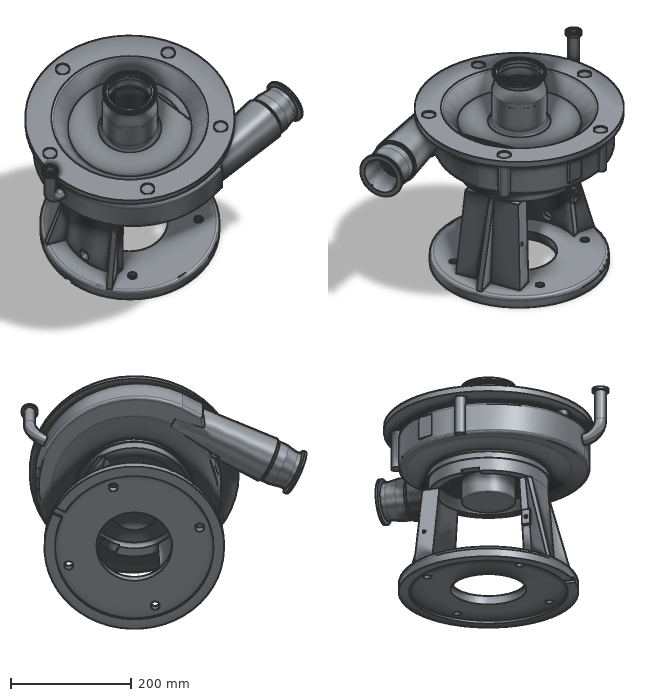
import cadquery as cq
import math


base_radius = 150.0
base_height = 20.3
base_edge_round = 6.5
base_bore_radius = 63.0
base_bolt_radius = 7.5
base_bolt_circle = 114.5
foot_recess_radius = 132.0
foot_recess_depth = 5.0
drain_notch_width = 12.0

leg_foot_sink = 5.5
leg_outer_radius_bottom = 113.3
leg_outer_radius_top = 100.0
leg_inner_radius_bottom = 102.2
leg_inner_radius_top = 86.0
leg_half_width_bottom = 60.5
leg_half_width_top = 50.0
rib_thickness = 9.3
rib_root_inset = 4.5
corner_rib_bottom_tip = (72.3, 129.0)
corner_rib_top_tip = (50.2, 87.5)
corner_rib_bottom_root = (55.5, 98.0)
corner_rib_top_root = (44.0, 81.0)
rear_leg_back_bottom = 113.5
rear_leg_back_top = 99.5
middle_rib_reach_bottom = 146.8
middle_rib_reach_top = 99.5
leg_window_radius = 10.0
leg_window_height = 34.0
leg_screw_radius = 2.5
leg_screw_depth = 9.0
leg_screw_height = 100.0
front_screw_y = -85.5
rear_screw_y = 95.0
screw_pad_width = 14.5
screw_pad_height = 26.0
screw_pad_face_x = -62.5

ring_bottom = 177.5
ring_step = 200.5
ring_top = 212.0
ring_lower_radius = 100.0
ring_upper_radius = 101.5
ring_bore_radius = 85.5
ring_slot_width = 31.0
ring_slot_height = 5.7
boss_radius = 45.0
boss_bottom = 163.0
boss_edge_round = 1.8

casing_bottom = 222.0
casing_top = 278.5
casing_overlap = 4.5
back_cone_bottom = 216.5
back_cone_overlap = 2.0
casing_edge_round = 5.5
tongue_radius = 141.5
tongue_angle = 45
spiral_start_radius = 149.0
spiral_left_radius = 154.5
spiral_front_radius = 167.5
spiral_end_radius = 175.0
spiral_end_x = 173.0
spiral_end_y = 39.5
name_pad_height = 39.2
name_pad_z = 252.0
name_pad_near_corner = (-144.5, 53.0)
name_pad_far_corner = (-135.5, 78.5)
name_pad_thickness = 13.2

plate_radius = 174.5
plate_top = 300.0
plate_thickness = 10.5
cover_radius = 139.5
cover_top = 286.5
cover_neck_radius = 135.7
dish_rim_radius = 131.0
dish_floor_radius = 103.0
dish_floor = 273.5
dish_rim_chamfer = 3.0
dish_rim_chamfer_depth = 1.8
sunk_chord_y = 80.5
sunk_floor_radius = 90.0
sunk_depth = 4.5
stud_count = 5
stud_circle = 152.5
stud_radius = 9.5
stud_bottom = 223.0
stud_recess = 2.0
stud_hole_radius = 11.5
gasket_groove_depth = 1.5

suction_top = 370.5
suction_flange_radius = 45.0
suction_flange_thickness = 4.0
suction_neck_radius = 38.0
suction_neck_top = 363.0
suction_neck_bottom = 355.5
suction_body_radius = 46.3
suction_body_top = 334.5
suction_flare_bulge = 1.5
suction_foot_flare = 6.0
suction_foot_height = 11.0
suction_foot_sink = 4.5
suction_groove_inner = 40.0
suction_groove_outer = 42.7
suction_neck_bore = 36.0
suction_neck_bore_bottom = 340.5
suction_body_bore = 44.0
suction_body_bore_top = 325.2
suction_bore_floor = 229.0

outlet_x = 140.0
outlet_z = 251.5
outlet_end = 231.0
outlet_flange_radius = 39.0
outlet_flange_thickness = 4.0
outlet_neck_radius = 32.5
outlet_neck_end = 224.8
outlet_neck_start = 217.0
outlet_body_radius = 36.0
outlet_body_end = 197.5
outlet_groove_end = 182.0
outlet_groove_start = 177.5
outlet_groove_radius = 35.3
outlet_pipe_radius = 39.0
outlet_pipe_inner_end_radius = 31.0
outlet_bore_radius = 30.5

vent_y = -196.0
vent_radius = 9.5
vent_bore_radius = 7.5
vent_bend_radius = 32.0
vent_axis_z = 254.5
vent_top = 342.0
vent_flange_radius = 13.5
vent_flange_thickness = 4.5
vent_groove_inner = 9.3
vent_groove_outer = 11.0
vent_root_y = -150.0


def disc(radius, bottom, top):
    return cq.Workplane("XY").workplane(offset=bottom).circle(radius).extrude(top - bottom)


def turned(profile):
    """Solid of revolution about Z from (radius, height) points."""
    return cq.Workplane("XZ").polyline(profile).close().revolve(360, (0, 0, 0), (0, 1, 0))


def box_between(x_min, x_max, y_min, y_max, z_min, z_max):
    block = cq.Workplane("XY").box(x_max - x_min, y_max - y_min, z_max - z_min, centered=False)
    return block.translate((x_min, y_min, z_min))


def polar(radius, degrees):
    angle = math.radians(degrees)
    return (radius * math.cos(angle), radius * math.sin(angle))


def prism_between(bottom_points, top_points, bottom, top):
    """Straight-sided block lofted between two matching outlines."""
    lower = cq.Workplane("XY").workplane(offset=bottom).polyline(bottom_points).close()
    return lower.workplane(offset=top - bottom).polyline(top_points).close().loft(ruled=True)


def base():
    """Round foot plate with bore, bolt holes, a shallow recess underneath and its drain notch."""
    plate = disc(base_radius, 0, base_height).faces(">Z").edges().fillet(base_edge_round)
    plate = plate.cut(disc(base_bore_radius, 0, base_height))
    for degrees in (45, 135, 225, 315):
        x, y = polar(base_bolt_circle, degrees)
        plate = plate.cut(disc(base_bolt_radius, 0, base_height).translate((x, y, 0)))
    half = drain_notch_width / 2
    drain_notch = box_between(-half, half, -base_radius, -base_bore_radius, 0, foot_recess_depth)
    return plate.cut(disc(foot_recess_radius, 0, foot_recess_depth)).cut(drain_notch)


def leg_sides(back_bottom, back_top):
    """Tapered block on the +Y side that bounds a leg, from the axis to its back face."""
    return prism_between(
        [(-leg_half_width_bottom, 0), (leg_half_width_bottom, 0),
         (leg_half_width_bottom, back_bottom), (-leg_half_width_bottom, back_bottom)],
        [(-leg_half_width_top, 0), (leg_half_width_top, 0),
         (leg_half_width_top, back_top), (-leg_half_width_top, back_top)],
        base_height - leg_foot_sink, ring_bottom,
    )


def leg_cone(bottom_radius, top_radius):
    return (
        cq.Workplane("XY")
        .workplane(offset=base_height - leg_foot_sink)
        .circle(bottom_radius)
        .workplane(offset=ring_bottom - base_height + leg_foot_sink)
        .circle(top_radius)
        .loft()
    )


def rib_outline(root, tip):
    """Rectangle of the rib thickness running from root to tip."""
    length = math.dist(root, tip)
    across_x = -(tip[1] - root[1]) / length * rib_thickness / 2
    across_y = (tip[0] - root[0]) / length * rib_thickness / 2
    return [
        (root[0] + across_x, root[1] + across_y),
        (tip[0] + across_x, tip[1] + across_y),
        (tip[0] - across_x, tip[1] - across_y),
        (root[0] - across_x, root[1] - across_y),
    ]


def leg_rib(bottom_root, bottom_tip, top_root, top_tip):
    return prism_between(
        rib_outline(bottom_root, bottom_tip),
        rib_outline(top_root, top_tip),
        base_height - leg_foot_sink, ring_bottom,
    )


def screw_hole(y):
    hole = cq.Workplane("YZ").center(y, leg_screw_height).circle(leg_screw_radius)
    return hole.extrude(leg_screw_depth)


def rear_leg():
    """Leg on the +Y side: curved inside, flat at the back, with one rib in the middle."""
    post = leg_sides(rear_leg_back_bottom, rear_leg_back_top)
    post = post.cut(leg_cone(leg_inner_radius_bottom, leg_inner_radius_top))
    rib = leg_rib(
        (0, leg_inner_radius_bottom + rib_root_inset), (0, middle_rib_reach_bottom),
        (0, leg_inner_radius_top + rib_root_inset), (0, middle_rib_reach_top),
    )
    return post.union(rib).cut(screw_hole(rear_screw_y).translate((-leg_half_width_bottom, 0, 0)))


def front_leg():
    """Leg on the -Y side: conical wall with a rib at each side and a round window near the foot."""
    wall = leg_cone(leg_outer_radius_bottom, leg_outer_radius_top)
    wall = wall.cut(leg_cone(leg_inner_radius_bottom, leg_inner_radius_top))
    wall = wall.intersect(leg_sides(base_radius, base_radius))
    rib = leg_rib(corner_rib_bottom_root, corner_rib_bottom_tip, corner_rib_top_root, corner_rib_top_tip)
    leg = wall.union(rib).union(rib.mirror("YZ")).mirror("XZ")
    window = cq.Workplane("XZ").center(0, leg_window_height).circle(leg_window_radius).extrude(base_radius)
    pad = box_between(
        screw_pad_face_x, -leg_half_width_top,
        front_screw_y - screw_pad_width / 2, front_screw_y + screw_pad_width / 2,
        leg_screw_height - screw_pad_height / 2, leg_screw_height + screw_pad_height / 2,
    )
    return leg.cut(window).union(pad).cut(screw_hole(front_screw_y).translate((screw_pad_face_x, 0, 0)))


def bearing_ring():
    ring = disc(ring_lower_radius, ring_bottom, ring_step).union(disc(ring_upper_radius, ring_step, ring_top))
    ring = ring.cut(disc(ring_bore_radius, ring_bottom, ring_step))
    half = ring_slot_width / 2
    slot = box_between(
        -ring_upper_radius, -boss_radius, -half, half, ring_bottom, ring_bottom + ring_slot_height
    )
    boss = disc(boss_radius, boss_bottom, ring_top).faces("<Z").edges().fillet(boss_edge_round)
    return ring.cut(slot).union(boss)


def casing():
    """Volute whose radius grows from the +Y side round through -X and -Y to the outlet at +X."""
    left_mid = polar((spiral_start_radius + spiral_left_radius) / 2, 135)
    front_mid = polar((spiral_left_radius + spiral_front_radius) / 2, 225)
    right_mid = polar((spiral_front_radius + spiral_end_radius) / 2, 315)
    tongue_mid = polar((tongue_radius + spiral_start_radius) / 2, (90 + tongue_angle) / 2)
    body = (
        cq.Workplane("XY")
        .workplane(offset=casing_bottom)
        .moveTo(0, spiral_start_radius)
        .threePointArc(left_mid, (-spiral_left_radius, 0))
        .threePointArc(front_mid, (0, -spiral_front_radius))
        .threePointArc(right_mid, (spiral_end_radius, 0))
        .lineTo(spiral_end_x, spiral_end_y)
        .lineTo(*polar(tongue_radius, tongue_angle))
        .threePointArc(tongue_mid, (0, spiral_start_radius))
        .close()
        .extrude(casing_top - casing_bottom)
    )
    body = body.faces("<Z or >Z").edges().fillet(casing_edge_round)
    return body.union(back_cone()).union(name_pad())


def name_pad():
    """Flat rectangular pad on the side of the casing."""
    return (
        cq.Workplane("XY")
        .workplane(offset=name_pad_z - name_pad_height / 2)
        .polyline([
            name_pad_near_corner,
            name_pad_far_corner,
            (name_pad_far_corner[0] + name_pad_thickness, name_pad_far_corner[1]),
            (name_pad_near_corner[0] + name_pad_thickness, name_pad_near_corner[1]),
        ])
        .close()
        .extrude(name_pad_height)
    )


def back_cone():
    """Shallow cone joining the casing floor to the bearing ring, with a narrow step above the ring."""
    return turned([
        (0, ring_top),
        (ring_lower_radius, ring_top),
        (ring_lower_radius, back_cone_bottom),
        (spiral_start_radius - 2 * casing_edge_round, casing_bottom),
        (0, casing_bottom + back_cone_overlap),
    ])


def mounting_plate():
    plate = disc(plate_radius, plate_top - plate_thickness, plate_top)
    cover = disc(cover_radius, casing_top - casing_overlap, cover_top)
    neck = disc(cover_neck_radius, cover_top, plate_top)
    return plate.union(cover).union(neck)


def dish():
    """Hollow in the top of the cover, with a lower floor beyond a chord on the +Y side."""
    cone = turned([
        (0, dish_floor),
        (dish_floor_radius, dish_floor),
        (dish_rim_radius - dish_rim_chamfer, plate_top - dish_rim_chamfer_depth),
        (dish_rim_radius, plate_top),
        (0, plate_top),
    ])
    sunk = turned([
        (0, dish_floor),
        (dish_floor_radius, dish_floor),
        (sunk_floor_radius, dish_floor - sunk_depth),
        (0, dish_floor - sunk_depth),
    ])
    reach = dish_floor_radius
    beyond_chord = box_between(-reach, reach, sunk_chord_y, reach, casing_bottom, plate_top)
    return cone.union(sunk.intersect(beyond_chord))


def stud_places():
    step = 360 / stud_count
    return [polar(stud_circle, 180 + i * step) for i in range(stud_count)]


def suction_nozzle():
    """Flanged nozzle that widens below its neck and flares into the dish floor."""
    flare_mid = (
        (suction_neck_radius + suction_body_radius) / 2 + suction_flare_bulge,
        (suction_neck_bottom + suction_body_top) / 2,
    )
    foot_radius = suction_body_radius + suction_foot_flare
    return (
        cq.Workplane("XZ")
        .moveTo(0, suction_top)
        .lineTo(suction_flange_radius, suction_top)
        .lineTo(suction_flange_radius, suction_top - suction_flange_thickness)
        .lineTo(suction_neck_radius, suction_neck_top)
        .lineTo(suction_neck_radius, suction_neck_bottom)
        .threePointArc(flare_mid, (suction_body_radius, suction_body_top))
        .lineTo(suction_body_radius, dish_floor + suction_foot_height)
        .tangentArcPoint((foot_radius, dish_floor), relative=False)
        .lineTo(foot_radius, dish_floor - suction_foot_sink)
        .lineTo(0, dish_floor - suction_foot_sink)
        .close()
        .revolve(360, (0, 0, 0), (0, 1, 0))
    )


def suction_bore():
    return turned([
        (0, suction_bore_floor),
        (suction_body_bore, suction_bore_floor),
        (suction_body_bore, suction_body_bore_top),
        (suction_neck_bore, suction_neck_bore_bottom),
        (suction_neck_bore, suction_top),
        (0, suction_top),
    ])


def gasket_groove(inner_radius, outer_radius, flange_top):
    bottom = flange_top - gasket_groove_depth
    return disc(outer_radius, bottom, flange_top).cut(disc(inner_radius, bottom, flange_top))


def outlet_pipe():
    profile = [
        (0, 0),
        (outlet_pipe_inner_end_radius, 0),
        (outlet_pipe_radius, outlet_groove_start),
        (outlet_groove_radius, outlet_groove_start),
        (outlet_groove_radius, outlet_groove_end),
        (outlet_body_radius, outlet_groove_end),
        (outlet_body_radius, outlet_body_end),
        (outlet_neck_radius, outlet_neck_start),
        (outlet_neck_radius, outlet_neck_end),
        (outlet_flange_radius, outlet_end - outlet_flange_thickness),
        (outlet_flange_radius, outlet_end),
        (0, outlet_end),
    ]
    pipe = cq.Workplane("XY").polyline(profile).close().revolve(360, (0, 0, 0), (0, 1, 0))
    return pipe.translate((outlet_x, 0, outlet_z))


def outlet_bore():
    bore = cq.Workplane("XZ").circle(outlet_bore_radius).extrude(-(outlet_end - outlet_groove_start))
    return bore.translate((outlet_x, outlet_groove_start, outlet_z))


def vent_tube(radius):
    """Round bar following the vent: outward from the casing, then bending up."""
    bend_offset = vent_bend_radius * (1 - math.sin(math.pi / 4))
    path = (
        cq.Workplane("YZ")
        .moveTo(vent_root_y, vent_axis_z)
        .lineTo(vent_y + vent_bend_radius, vent_axis_z)
        .threePointArc(
            (vent_y + bend_offset, vent_axis_z + bend_offset),
            (vent_y, vent_axis_z + vent_bend_radius),
        )
        .lineTo(vent_y, vent_top)
    )
    return cq.Workplane("XZ", origin=(0, vent_root_y, vent_axis_z)).circle(radius).sweep(path)


def vent():
    flange = disc(vent_flange_radius, vent_top - vent_flange_thickness, vent_top).translate((0, vent_y, 0))
    return vent_tube(vent_radius).union(flange)


result = base().union(front_leg()).union(rear_leg()).union(bearing_ring())
result = result.union(casing()).union(mounting_plate())
result = result.cut(dish()).union(suction_nozzle())
for stud_x, stud_y in stud_places():
    stud = disc(stud_radius, stud_bottom, plate_top - stud_recess).translate((stud_x, stud_y, 0))
    recess = disc(stud_hole_radius, plate_top - stud_recess, plate_top).translate((stud_x, stud_y, 0))
    result = result.cut(recess).union(stud)
result = result.union(outlet_pipe()).union(vent())
result = result.cut(suction_bore()).cut(outlet_bore()).cut(vent_tube(vent_bore_radius))
result = result.cut(gasket_groove(suction_groove_inner, suction_groove_outer, suction_top))
result = result.cut(gasket_groove(vent_groove_inner, vent_groove_outer, vent_top).translate((0, vent_y, 0)))